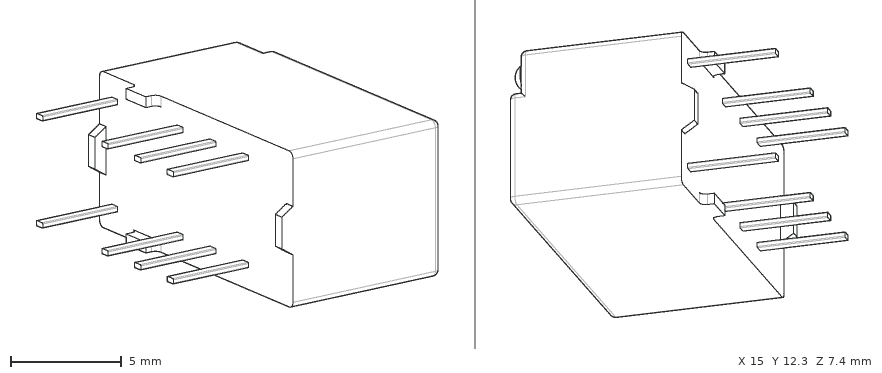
import cadquery as cq

case_length = 15.0
case_depth = 8.19
case_height = 7.4
edge_radius = 0.3

notch_size = 2.02
notch_depth = 0.51
dome_radius = 0.6
dome_height = 0.5
disc_height = 0.1
dome_inset = 1.0

tab_height = 0.62
tab_thickness = 0.51
end_tab_root = 2.3
end_tab_tip = 1.5
side_tab_width = 1.53
side_tab_inset = 3.69

pin_length = 4.15
pin_width = 0.5
pin_thickness = 0.25
pin_edge_radius = 0.05
pin_pitch = 2.54
pin_row_spacing = 5.07
first_pin_inset = 1.17
pin_steps = (0, 2, 3, 4)

root_overlap = 0.15
margin = 0.02

left = -case_length / 2
right = case_length / 2
top = case_height / 2
bottom = -case_height / 2
notch_floor = case_depth - notch_depth


def make_case():
    """Box with one notched corner, rounded on every outward edge except around the pin face."""
    block = cq.Workplane("XY").box(case_length, case_depth, case_height).translate((0, case_depth / 2, 0))
    notch = (
        cq.Workplane("XY")
        .box(notch_size, notch_depth, notch_size, centered=False)
        .edges("|Y and >X and <Z")
        .fillet(edge_radius)
        .translate((left, notch_floor, top - notch_size))
    )
    inside_notch = cq.selectors.BoxSelector(
        (left + margin, notch_floor - margin, top - notch_size - margin),
        (left + notch_size + margin, case_depth - margin, top - margin),
    )
    outward_edges = cq.StringSyntaxSelector("not(<Y)") - inside_notch
    return block.cut(notch).edges(outward_edges).fillet(edge_radius)


def make_dome():
    """Round marker on the notch floor: a low disc topped by a spherical cap."""
    cap_height = dome_height - disc_height
    cap_radius = (dome_radius**2 + cap_height**2) / (2 * cap_height)
    return (
        cq.Workplane("XY", origin=(left + dome_inset, notch_floor, top - dome_inset))
        .moveTo(0, -root_overlap)
        .lineTo(dome_radius, -root_overlap)
        .lineTo(dome_radius, disc_height)
        .radiusArc((0, dome_height), -cap_radius)
        .close()
        .revolve(360, (0, 0, 0), (0, 1, 0))
    )


def make_end_tab(outer_x):
    """Tapered tab in the middle of one short side, its outer face flush with the case."""
    inner_x = outer_x - tab_thickness if outer_x > 0 else outer_x
    return (
        cq.Workplane("YZ", origin=(inner_x, 0, 0))
        .moveTo(0, -end_tab_root / 2)
        .lineTo(-tab_height, -end_tab_tip / 2)
        .lineTo(-tab_height, end_tab_tip / 2)
        .lineTo(0, end_tab_root / 2)
        .close()
        .extrude(tab_thickness)
    )


def make_side_tab(outer_z):
    """Square-ended tab on one long side, blended into the pin face by concave arcs."""
    inner_z = outer_z - tab_thickness if outer_z > 0 else outer_z
    half_width = side_tab_width / 2
    return (
        cq.Workplane("XY", origin=(left + side_tab_inset, 0, inner_z))
        .moveTo(-half_width - edge_radius, 0)
        .radiusArc((-half_width, -edge_radius), edge_radius)
        .lineTo(-half_width, -tab_height)
        .lineTo(half_width, -tab_height)
        .lineTo(half_width, -edge_radius)
        .radiusArc((half_width + edge_radius, 0), edge_radius)
        .close()
        .extrude(tab_thickness)
    )


def make_pin(x, z):
    """Flat pin with softened long edges, rooted slightly inside the case."""
    full_length = pin_length + root_overlap
    return (
        cq.Workplane("XY")
        .box(pin_width, full_length, pin_thickness)
        .edges("|Y")
        .fillet(pin_edge_radius)
        .translate((x, root_overlap - full_length / 2, z))
    )


result = make_case().union(make_dome())
for end_x in (left, right):
    result = result.union(make_end_tab(end_x))
for side_z in (bottom, top):
    result = result.union(make_side_tab(side_z))
for row_z in (-pin_row_spacing / 2, pin_row_spacing / 2):
    for step in pin_steps:
        result = result.union(make_pin(left + first_pin_inset + step * pin_pitch, row_z))